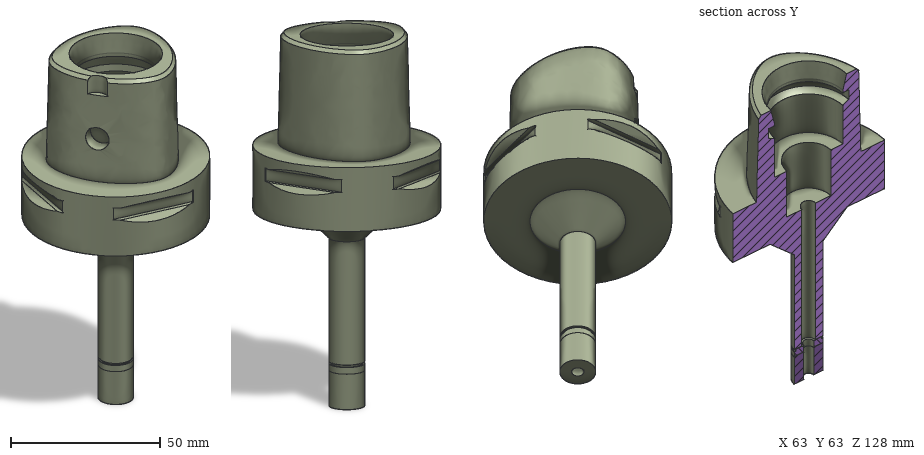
import cadquery as cq
import math


total_height = 128.0
tip_length = 12.3
ring_top = 14.6
neck_bottom = 15.4
shank_height = 38.0
flange_height = 22.0
flange_top = total_height - shank_height
flange_bottom = flange_top - flange_height

flange_radius = 31.5
neck_radius = 6.0
cone_radius = 16.0
cone_height = cone_radius - neck_radius
relief_depth = 0.6
relief_radius = neck_radius - relief_depth

polygon_radius = 22.1
lobe_height = 1.4
taper = 1 / 40
rim_chamfer_height = 1.3
rim_chamfer_width = 1.0
outline_points = 36

bore_radius = 14.1
mouth_radius = 15.6
mouth_depth = 6.7
groove_radius = 16.5
groove_start = 8.0
groove_end = 12.0
groove_ramp_end = 13.5
bore_depth = 30.7
bolt_hole_radius = 9.1
bolt_hole_depth = 51.2

neck_channel_radius = 2.8
tip_channel_radius = 2.0

notch_radius = 4.1
notch_depth = 6.3
notch_bottom_y = -17.7
side_hole_radius = 4.1
side_hole_drop = 22.3
side_hole_floor_y = -14.8

slot_count = 4
first_slot_angle = 45
slot_length = 30.0
slot_height = 4.5
slot_floor = 27.1
slot_flare_start = 28.7
slot_flare_height = 7.8
slot_drop = 6.4


def polygon_section(height_above_flange, inset=0.0):
    """Closed wire of the three-lobed shank outline, with one lobe pointing to +Y."""
    radius = polygon_radius - taper * height_above_flange - inset

    points = []
    for i in range(outline_points):
        angle = 2 * math.pi * i / outline_points - math.pi / 2
        support = radius - lobe_height * math.sin(3 * angle)
        slope = -3 * lobe_height * math.cos(3 * angle)
        x = support * math.cos(angle) - slope * math.sin(angle)
        y = support * math.sin(angle) + slope * math.cos(angle)
        points.append(cq.Vector(x, y, flange_top + height_above_flange))
    return cq.Wire.assembleEdges([cq.Edge.makeSpline(points, periodic=True)])


def polygon_shank():
    chamfer_start = shank_height - rim_chamfer_height
    base = polygon_section(0)
    shoulder = polygon_section(chamfer_start)
    rim = polygon_section(shank_height, rim_chamfer_width)
    lower = cq.Solid.makeLoft([base, shoulder], True)
    upper = cq.Solid.makeLoft([shoulder, rim], True)
    return cq.Workplane(lower).union(cq.Workplane(upper))


def flange_and_neck():
    profile = [
        (0, neck_bottom),
        (neck_radius, neck_bottom),
        (neck_radius, flange_bottom - cone_height),
        (cone_radius, flange_bottom),
        (flange_radius, flange_bottom),
        (flange_radius, flange_top),
        (0, flange_top),
    ]
    return cq.Workplane("XZ").polyline(profile).close().revolve(360, (0, 0), (0, 1))


def stepped_bore():
    """Everything removed along the axis, from the shank mouth to the neck end."""
    def depth(d):
        return total_height - d

    profile = [
        (0, depth(0)),
        (mouth_radius, depth(0)),
        (bore_radius, depth(mouth_depth)),
        (bore_radius, depth(groove_start)),
        (groove_radius, depth(groove_start)),
        (groove_radius, depth(groove_end)),
        (bore_radius, depth(groove_ramp_end)),
        (bore_radius, depth(bore_depth)),
        (bolt_hole_radius, depth(bore_depth)),
        (bolt_hole_radius, depth(bolt_hole_depth)),
        (neck_channel_radius, depth(bolt_hole_depth)),
        (neck_channel_radius, neck_bottom),
        (0, neck_bottom),
    ]
    return cq.Workplane("XZ").polyline(profile).close().revolve(360, (0, 0), (0, 1))


def key_notch():
    return (
        cq.Workplane("XY", origin=(0, 0, total_height - notch_depth))
        .center(0, notch_bottom_y - notch_radius)
        .circle(notch_radius)
        .extrude(notch_depth)
    )


def side_hole():
    """Blind round hole entering the shank from -Y."""
    return (
        cq.Workplane("XZ", origin=(0, side_hole_floor_y, total_height - side_hole_drop))
        .circle(side_hole_radius)
        .extrude(polygon_radius + side_hole_floor_y)
    )


def gripper_slot():
    """One straight slot on the +X side of the flange, with flared sides."""
    half_height = slot_height / 2
    half_flare = slot_flare_height / 2
    profile = [
        (slot_floor, -half_height),
        (slot_flare_start, -half_height),
        (flange_radius, -half_flare),
        (flange_radius, half_flare),
        (slot_flare_start, half_height),
        (slot_floor, half_height),
    ]
    return (
        cq.Workplane("XZ", origin=(0, 0, flange_top - slot_drop))
        .polyline(profile)
        .close()
        .extrude(slot_length / 2, both=True)
    )


def make_holder():
    body = flange_and_neck().union(polygon_shank())
    body = body.cut(stepped_bore()).cut(key_notch()).cut(side_hole())
    for i in range(slot_count):
        angle = first_slot_angle + i * 360 / slot_count
        body = body.cut(gripper_slot().rotate((0, 0, 0), (0, 0, 1), angle))
    return body


def make_ring():
    """Coupling ring with a narrow spigot that leaves a groove below the neck."""
    return (
        cq.Workplane("XY", origin=(0, 0, tip_length))
        .circle(neck_radius)
        .extrude(ring_top - tip_length)
        .faces(">Z")
        .workplane()
        .circle(relief_radius)
        .extrude(neck_bottom - ring_top)
        .faces(">Z")
        .workplane()
        .circle(tip_channel_radius)
        .cutThruAll()
    )


def make_tip():
    return cq.Workplane("XY").circle(neck_radius).circle(tip_channel_radius).extrude(tip_length)


holder = make_holder()
ring = make_ring()
tip = make_tip()

result = cq.Compound.makeCompound([holder.val(), ring.val(), tip.val()])